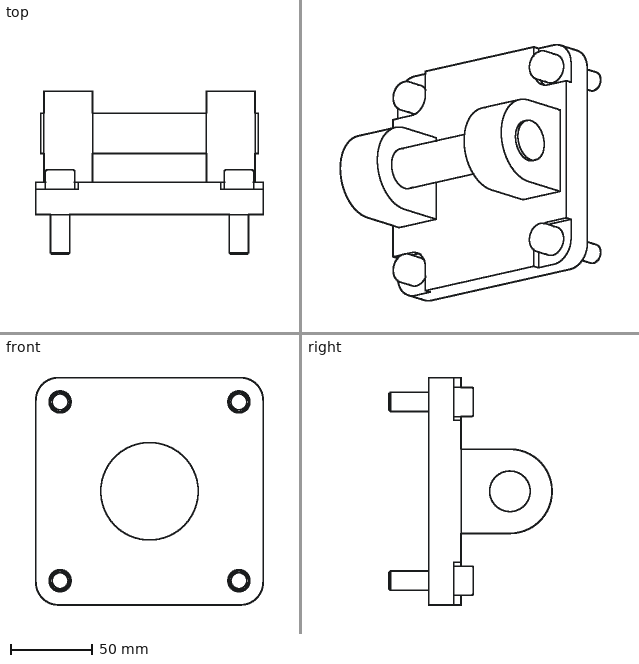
import cadquery as cq

plate_side = 140.0
plate_thickness = 20.0
plate_corner_radius = 14.0
spigot_diameter = 60.0
spigot_depth = 8.5

screw_pitch = 110.0
screw_diameter = 12.0
screw_length = 40.0
screw_tip_chamfer = 1.1
head_diameter = 1.5 * screw_diameter
head_height = screw_diameter
head_edge_radius = 1.0
clearance_diameter = 13.5
seat_depth = 4.5
seat_radius = 11.25

lug_thickness = 30.0
lug_gap = 70.0
lug_radius = 26.0
pin_height = 30.0
pin_diameter = 25.0
pin_overhang = 2.0

seat_y = plate_thickness - seat_depth
pin_y = plate_thickness + pin_height
lug_outer_width = lug_gap + 2 * lug_thickness
pin_length = lug_outer_width + 2 * pin_overhang
corner_signs = [(sx, sz) for sx in (-1, 1) for sz in (-1, 1)]


def cylinder_along_y(diameter, length, x, y, z):
    """Cylinder that starts at (x, y, z) and runs toward +Y."""
    return cq.Workplane(cq.Solid.makeCylinder(
        diameter / 2, length, cq.Vector(x, y, z), cq.Vector(0, 1, 0)))


def screw_seat(sign_x, sign_z):
    """Flat seat, open to both plate edges, with a rounded inner corner around the screw."""
    half_pitch = screw_pitch / 2
    inner_edge = half_pitch - seat_radius
    seat_size = plate_side / 2 - inner_edge
    seat_center = inner_edge + seat_size / 2
    block = cq.Workplane("XY").box(seat_size, seat_depth, seat_size)
    inner_corner = ("<X" if sign_x > 0 else ">X") + " and " + ("<Z" if sign_z > 0 else ">Z")
    block = block.edges(inner_corner).fillet(seat_radius)
    return block.translate((sign_x * seat_center, seat_y + seat_depth / 2, sign_z * seat_center))


def base_plate():
    """Rounded square plate with a central spigot recess, screw seats and clearance holes."""
    plate = cq.Workplane("XY").box(plate_side, plate_thickness, plate_side)
    plate = plate.edges("|Y").fillet(plate_corner_radius)
    plate = plate.translate((0, plate_thickness / 2, 0))
    plate = plate.cut(cylinder_along_y(spigot_diameter, spigot_depth, 0, 0, 0))
    for sign_x, sign_z in corner_signs:
        hole_x = sign_x * screw_pitch / 2
        hole_z = sign_z * screw_pitch / 2
        plate = plate.cut(screw_seat(sign_x, sign_z))
        plate = plate.cut(cylinder_along_y(clearance_diameter, plate_thickness, hole_x, 0, hole_z))
    return plate


def screw(x, z):
    """Cap screw whose head rests on its seat and whose chamfered tip points to -Y."""
    shank = cylinder_along_y(screw_diameter, screw_length, x, seat_y - screw_length, z)
    shank = shank.faces("<Y").chamfer(screw_tip_chamfer)
    head = cylinder_along_y(head_diameter, head_height, x, seat_y, z)
    head = head.faces(">Y").edges().fillet(head_edge_radius)
    return head.union(shank)


def lug(center_x):
    """Upright lug with a full-round end concentric with the pin."""
    profile = (
        cq.Workplane("YZ", origin=(center_x - lug_thickness / 2, 0, 0))
        .moveTo(plate_thickness, -lug_radius)
        .lineTo(pin_y, -lug_radius)
        .threePointArc((pin_y + lug_radius, 0), (pin_y, lug_radius))
        .lineTo(plate_thickness, lug_radius)
        .close()
    )
    return profile.extrude(lug_thickness)


def pin():
    """Clevis pin along X, protruding slightly from both lugs."""
    return (
        cq.Workplane("YZ", origin=(-pin_length / 2, 0, 0))
        .center(pin_y, 0)
        .circle(pin_diameter / 2)
        .extrude(pin_length)
    )


result = base_plate()
for side in (-1, 1):
    result = result.union(lug(side * (lug_gap + lug_thickness) / 2))
result = result.union(pin())
for sign_x, sign_z in corner_signs:
    result = result.union(screw(sign_x * screw_pitch / 2, sign_z * screw_pitch / 2))